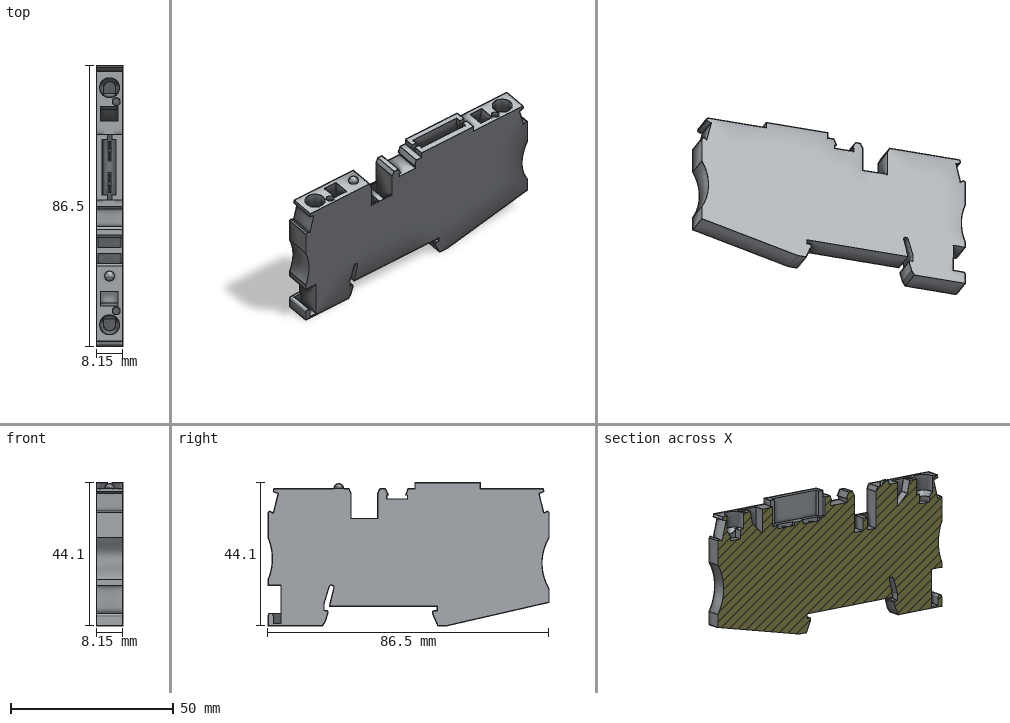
import cadquery as cq

WIDTH = 8.15
LENGTH = 86.5
HEIGHT = 44.05
END = LENGTH / 2

DECK_Z = 42.25
RAIL_Z = 5.95
SHOULDER_Z = 34.9
GRIP_TOP_Z = 27.1
FOOT_GRIP_BOTTOM_Z = 11.4
FOOT_GRIP_DEPTH = 2.15
LATCH_GRIP_BOTTOM_Z = 14.2
LATCH_GRIP_DEPTH = 1.3
LEDGE_Z = 3.85
LEDGE_ROUND = 0.8
LATCH_WALL_Y = -39.3
LATCH_LIP = 2 * LEDGE_ROUND
LATCH_SIDE_WALL = 0.9
LATCH_POCKET_DEPTH = 3.2

FRAME_START = 1.9
FRAME_END = 22.1
FRAME_WALL = 1.6
FRAME_POCKET_WIDTH = 4.1
FRAME_POCKET_DRAFT = 0.25
FRAME_POCKET_DEPTH = 8.0
FRAME_SLIT_WIDTH = 1.35

CONTACT_MIDDLE_Y = 12.1
CONTACT_START = 1.75
CONTACT_WIDTH = 0.85
CONTACT_LENGTH = 6.15
CONTACT_DEPTH = 1.0
GROOVE_LENGTH = 2.2
GROOVE_STARTS = (2.35, 5.7)
GROOVE_DEPTH = 1.6

WIRE_Y = 36.5
WIRE_DIAMETER = 6.1
WIRE_DEPTH = 5.0
FUNNEL_DEPTH = 1.6
RAMP_START = 2.85
RAMP_DROP = 0.37
THROAT_WIDTH = 3.7
THROAT_DEPTH = 1.5
TEST_X = 2.05
TEST_Y = 32.2
TEST_DIAMETER = 2.4
TEST_DEPTH = 3.0
RELEASE_X = -0.1
RELEASE_WIDTH = 5.25
RELEASE_INNER_Y = 26.2
RELEASE_OUTER_Y = 30.65
RELEASE_LEAD = 0.85
RELEASE_LEAD_DEPTH = 4.0
RELEASE_DEPTH = 7.5

NOTCH_START = -9.55
NOTCH_END = -17.65
NOTCH_FLOOR_Z = 33.1
NOTCH_EDGE_Z = 40.7
NOTCH_BEVEL = 0.75
RECESS_WIDTH = 7.1
RECESS_LENGTH = 3.1
RECESS_DEPTH = 4.0

DOME_Y = -21.5
DOME_RADIUS = 1.5


def lip_points(side):
    """Snap lip and notch of one end, from the deck down to the shoulder; side is +1 or -1."""
    lip = [
        (41.45, DECK_Z),
        (41.65, 41.35),
        (41.1, 41.05),
        (40.15, 40.75),
        (41.65, 34.7),
        (42.7, 35.3),
        (END, SHOULDER_Z),
    ]
    return [(side * y, z) for y, z in lip]


def make_housing():
    """Side outline of the housing, extruded across the thickness."""
    foot_outline = [
        (END, 7.2),
        (11.8, 0),
        (9.0, 0),
        (7.4, 3.65),
        (7.4, 4.45),
        (7.85, 4.65),
        (8.75, 4.65),
        (8.75, RAIL_Z),
        (-24.4, RAIL_Z),
        (-23.0, 11.8),
    ]
    latch_outline = [
        (-26.0, 6.8),
        (-26.0, 4.75),
        (-24.95, 4.6),
        (-24.75, 4.2),
        (-25.6, 1.4),
        (-26.5, 0),
        (-END, 0),
        (-END, LEDGE_Z - LEDGE_ROUND),
    ]
    ledge_outline = [
        (LATCH_WALL_Y, LEDGE_Z),
        (LATCH_WALL_Y, 12.45),
        (-END, 12.45),
        (-END, LATCH_GRIP_BOTTOM_Z),
    ]
    deck_outline = [
        (NOTCH_END - NOTCH_BEVEL, DECK_Z),
        (NOTCH_END, NOTCH_EDGE_Z),
        (NOTCH_END, NOTCH_FLOOR_Z),
        (NOTCH_START, NOTCH_FLOOR_Z),
        (NOTCH_START, NOTCH_EDGE_Z),
        (NOTCH_START + NOTCH_BEVEL, DECK_Z),
        (-7.2, DECK_Z),
        (-6.2, 40.3),
        (-6.65, 40.15),
        (-6.65, 39.1),
        (-0.4, 39.1),
        (-0.4, 40.15),
        (-0.9, 40.3),
        (-0.13, DECK_Z),
        (FRAME_START, DECK_Z),
        (FRAME_START, HEIGHT),
        (FRAME_END, HEIGHT),
        (FRAME_END, DECK_Z),
    ]
    latch_grip_middle_z = (GRIP_TOP_Z + LATCH_GRIP_BOTTOM_Z) / 2
    foot_grip_middle_z = (GRIP_TOP_Z + FOOT_GRIP_BOTTOM_Z) / 2
    outline = (
        cq.Workplane("YZ", origin=(-WIDTH / 2, 0, 0))
        .polyline(lip_points(1))
        .lineTo(END, GRIP_TOP_Z)
        .threePointArc((END - FOOT_GRIP_DEPTH, foot_grip_middle_z), (END, FOOT_GRIP_BOTTOM_Z))
    )
    for point in foot_outline:
        outline = outline.lineTo(*point)
    outline = outline.threePointArc((-23.7, 12.5), (-24.5, 11.8))
    for point in latch_outline:
        outline = outline.lineTo(*point)
    outline = outline.radiusArc((-END + LEDGE_ROUND, LEDGE_Z), LEDGE_ROUND)
    for point in ledge_outline:
        outline = outline.lineTo(*point)
    outline = outline.threePointArc((-END + LATCH_GRIP_DEPTH, latch_grip_middle_z), (-END, GRIP_TOP_Z))
    for point in lip_points(-1)[::-1] + deck_outline:
        outline = outline.lineTo(*point)
    return outline.close().extrude(WIDTH)


def box_down(x, y, top_z, size_x, size_y, depth):
    """Box centred on (x, y) that reaches down from top_z."""
    return cq.Workplane("XY", origin=(x, y, top_z)).rect(size_x, size_y).extrude(-depth)


def make_contact_slot(side):
    """Slot in the pocket floor with two V grooves; side is +1 or -1 from the middle."""
    floor_z = HEIGHT - FRAME_POCKET_DEPTH
    groove_top_z = floor_z - CONTACT_DEPTH
    slot_y = CONTACT_MIDDLE_Y + side * (CONTACT_START + CONTACT_LENGTH / 2)
    cut = box_down(0, slot_y, floor_z, CONTACT_WIDTH, CONTACT_LENGTH, CONTACT_DEPTH)
    for start in GROOVE_STARTS:
        groove_y = CONTACT_MIDDLE_Y + side * (start + GROOVE_LENGTH / 2)
        groove = (
            cq.Workplane("XZ", origin=(0, groove_y, groove_top_z))
            .polyline([(-CONTACT_WIDTH / 2, 0), (CONTACT_WIDTH / 2, 0), (0, -GROOVE_DEPTH)])
            .close()
            .extrude(GROOVE_LENGTH / 2, both=True)
        )
        cut = cut.union(groove)
    return cut


def make_frame_cut():
    """Pocket of the raised frame with a drafted -X wall and an equally deep slit at each end."""
    middle = (FRAME_START + FRAME_END) / 2
    length = FRAME_END - FRAME_START
    pocket_length = length - 2 * FRAME_WALL
    pocket = box_down(0, middle, HEIGHT, FRAME_POCKET_WIDTH, pocket_length, FRAME_POCKET_DEPTH)
    slits = box_down(0, middle, HEIGHT, FRAME_SLIT_WIDTH, length, FRAME_POCKET_DEPTH)
    draft = (
        cq.Workplane("XZ", origin=(-FRAME_POCKET_WIDTH / 2, middle, HEIGHT))
        .polyline([(0, 0), (-FRAME_POCKET_DRAFT, 0), (0, -FRAME_POCKET_DEPTH)])
        .close()
        .extrude(pocket_length / 2, both=True)
    )
    return pocket.union(slits).union(draft)


def make_wire_entry(side):
    """Round hole, a conical funnel with a gentle inboard ramp, and a throat square on its inboard side."""
    center_y = side * WIRE_Y
    funnel_z = DECK_Z - WIRE_DEPTH
    hole_radius = WIRE_DIAMETER / 2
    throat_radius = THROAT_WIDTH / 2
    throat_height = FUNNEL_DEPTH + THROAT_DEPTH
    hole = cq.Workplane("XY", origin=(0, center_y, DECK_Z)).circle(hole_radius).extrude(-WIRE_DEPTH)
    cone = (
        cq.Workplane("XY", origin=(0, center_y, funnel_z))
        .circle(hole_radius)
        .workplane(offset=-FUNNEL_DEPTH)
        .circle(throat_radius)
        .loft()
    )
    ramp = (
        cq.Workplane("YZ", origin=(-hole_radius, 0, 0))
        .polyline([
            (side * (WIRE_Y - hole_radius), funnel_z),
            (side * (WIRE_Y - RAMP_START), funnel_z),
            (side * (WIRE_Y - throat_radius), funnel_z - RAMP_DROP),
            (side * (WIRE_Y - throat_radius), funnel_z - FUNNEL_DEPTH),
            (side * (WIRE_Y - hole_radius), funnel_z - FUNNEL_DEPTH),
        ])
        .close()
        .extrude(WIRE_DIAMETER)
    )
    round_throat = (
        cq.Workplane("XY", origin=(0, center_y, funnel_z)).circle(throat_radius).extrude(-throat_height)
    )
    square_throat = box_down(
        0, center_y - side * throat_radius / 2, funnel_z, THROAT_WIDTH, throat_radius, throat_height
    )
    return hole.union(cone.cut(ramp)).union(round_throat).union(square_throat)


def make_test_hole(side):
    """Small round blind hole beside the wire entry."""
    return (
        cq.Workplane("XY", origin=(TEST_X, side * TEST_Y, DECK_Z))
        .circle(TEST_DIAMETER / 2)
        .extrude(-TEST_DEPTH)
    )


def make_release_pocket(side):
    """Wedge pocket: a steep lead-in, then a ramp that drops to the inboard wall."""
    lead_y = RELEASE_OUTER_Y - RELEASE_LEAD
    return (
        cq.Workplane("YZ", origin=(RELEASE_X - RELEASE_WIDTH / 2, 0, 0))
        .polyline([
            (side * RELEASE_INNER_Y, DECK_Z),
            (side * RELEASE_OUTER_Y, DECK_Z),
            (side * lead_y, DECK_Z - RELEASE_LEAD_DEPTH),
            (side * RELEASE_INNER_Y, DECK_Z - RELEASE_DEPTH),
        ])
        .close()
        .extrude(RELEASE_WIDTH)
    )


def make_notch_recesses():
    """One recess at each end of the deep notch floor, leaving a bar between them."""
    cut = cq.Workplane("XY")
    for y in (NOTCH_START - RECESS_LENGTH / 2, NOTCH_END + RECESS_LENGTH / 2):
        cut = cut.add(box_down(0, y, NOTCH_FLOOR_Z, RECESS_WIDTH, RECESS_LENGTH, RECESS_DEPTH))
    return cut.combine()


def make_latch_pocket():
    """Pocket behind the round-topped latch lip, with a thin wall on the -X side and open on the +X side."""
    floor_z = LEDGE_Z - LATCH_POCKET_DEPTH
    lip_back_y = -END + LATCH_LIP
    return (
        cq.Workplane("YZ", origin=(-WIDTH / 2 + LATCH_SIDE_WALL, 0, 0))
        .moveTo(-END + LEDGE_ROUND, LEDGE_Z)
        .lineTo(LATCH_WALL_Y, LEDGE_Z)
        .lineTo(LATCH_WALL_Y, floor_z)
        .lineTo(lip_back_y, floor_z)
        .lineTo(lip_back_y, LEDGE_Z - LEDGE_ROUND)
        .radiusArc((-END + LEDGE_ROUND, LEDGE_Z), -LEDGE_ROUND)
        .close()
        .extrude(WIDTH - LATCH_SIDE_WALL)
    )


def make_dome():
    """Indicator dome standing on the deck, a sphere with its poles along Y."""
    plane = cq.Plane(origin=(0, DOME_Y, DECK_Z), xDir=(0, 0, 1), normal=(0, 1, 0))
    return cq.Workplane(plane).sphere(DOME_RADIUS)


result = make_housing().union(make_dome())
result = result.cut(make_frame_cut()).cut(make_notch_recesses()).cut(make_latch_pocket())
for end_side in (1, -1):
    result = result.cut(make_contact_slot(end_side))
    result = result.cut(make_wire_entry(end_side))
    result = result.cut(make_test_hole(end_side))
    result = result.cut(make_release_pocket(end_side))